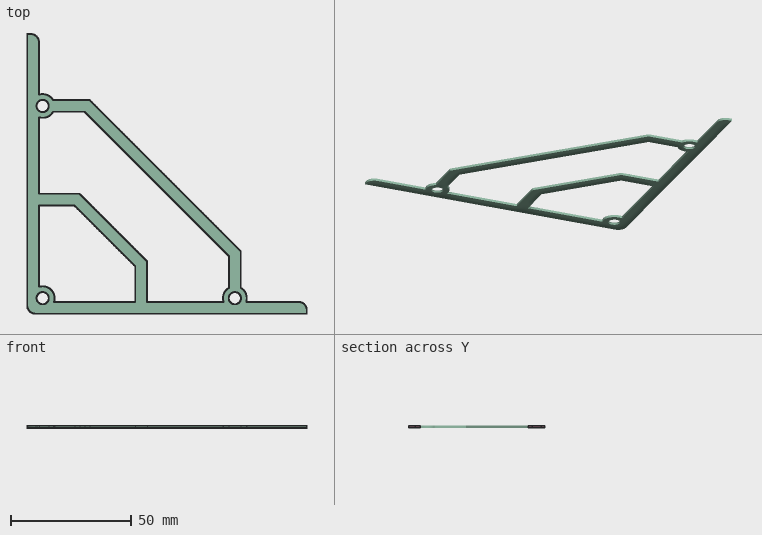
import cadquery as cq
import math

leg_length = 116.5
bar_width = 5.0
thickness = 1.0
corner_radius = 3.5

hole_diameter = 5.0
boss_diameter = 10.0
hole_inset = 6.5
hole_spacing = 80.0
far_hole = hole_inset + hole_spacing

outer_brace_reach = far_hole + bar_width / 2
outer_brace_bend = 26.0
inner_brace_reach = 50.0
inner_brace_bend = 21.85

brace_turn = math.radians(45)
bend_shift = bar_width * math.tan(brace_turn / 2)


def make_leg():
    """Leg along X with its inner tip corner rounded; the outer edge lies on Y = 0."""
    leg = cq.Workplane("XY").box(leg_length, bar_width, thickness, centered=False)
    return leg.edges("|Z and >X and >Y").fillet(corner_radius)


def mirror_across_diagonal(body):
    """Swap X and Y while keeping the plate between the same Z levels."""
    half_turned = body.rotate((0, 0, 0), (1, 1, 0), 180)
    return half_turned.translate((0, 0, thickness))


def make_brace(reach, bend, root):
    """Bent strut between the legs, symmetric about the diagonal and starting root from the outer edges."""
    inner_reach = reach - bar_width
    inner_bend = bend - bend_shift
    return (
        cq.Workplane("XY")
        .moveTo(root, reach)
        .lineTo(bend, reach)
        .lineTo(reach, bend)
        .lineTo(reach, root)
        .lineTo(inner_reach, root)
        .lineTo(inner_reach, inner_bend)
        .lineTo(inner_bend, inner_reach)
        .lineTo(root, inner_reach)
        .close()
        .extrude(thickness)
    )


def make_discs(diameter):
    """One disc at each screw position."""
    centres = [(hole_inset, hole_inset), (far_hole, hole_inset), (hole_inset, far_hole)]
    return cq.Workplane("XY").pushPoints(centres).circle(diameter / 2).extrude(thickness)


leg_x = make_leg()
leg_y = mirror_across_diagonal(leg_x)
frame = leg_x.union(leg_y).edges("|Z and <X and <Y").fillet(corner_radius)

brace_root = bar_width / 2
outer_brace = make_brace(outer_brace_reach, outer_brace_bend, brace_root)
inner_brace = make_brace(inner_brace_reach, inner_brace_bend, brace_root)

bosses = make_discs(boss_diameter)
holes = make_discs(hole_diameter)

result = frame.union(outer_brace).union(inner_brace).union(bosses).cut(holes).clean()